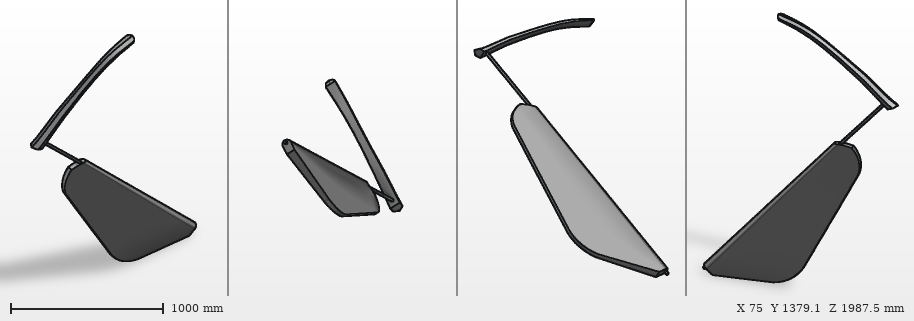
import cadquery as cq
import math


shaft_diameter = 19.0
shaft_foot = (1372.0, 25.0)
shaft_head = (83.0, 1490.0)

nose_foot = (1344.0, 38.0)
nose_head = (421.0, 1125.0)
nose_thickness_foot = 64.0
nose_thickness_head = 42.0
nose_depth_foot = 34.0
nose_depth_head = 20.0
trailing_thickness = 30.0
flank_depth_foot = 563.0
flank_depth_head = 225.0
head_overrun = 1.15

blade_top = 1125.0
blade_heel = (1308.0, 0.0)
heel_curve_start = (875.0, 24.0)
heel_curve_middle = (765.0, 65.0)
heel_curve_end = (670.0, 161.0)
crown_start = (280.0, 918.0)
crown_middle = (275.0, 1038.0)
crown_end = (322.0, 1117.0)
crown_top_y = 375.0
outline_clearance = 100.0

handle_sections = [
    ((847.0, 1988.0), (829.0, 1965.0), 75.0),
    ((705.0, 1948.0), (714.0, 1922.0), 68.0),
    ((586.0, 1896.0), (600.0, 1867.0), 60.0),
    ((437.0, 1803.0), (457.0, 1775.0), 55.0),
    ((298.0, 1708.0), (322.0, 1680.0), 62.0),
    ((150.0, 1590.0), (173.0, 1560.0), 70.0),
    ((0.0, 1480.0), (58.0, 1460.0), 75.0),
]
shoulder_share = 0.6
far_end_radius = 28.0
low_end_chamfer = 12.0


def between(start, end, share):
    return start + share * (end - start)


def point_between(start, end, share):
    return tuple(between(a, b, share) for a, b in zip(start, end))


def loft(wires, ruled):
    return cq.Workplane(cq.Solid.makeLoft(wires, ruled))


def make_shaft():
    dy = shaft_head[0] - shaft_foot[0]
    dz = shaft_head[1] - shaft_foot[1]
    return cq.Workplane(cq.Solid.makeCylinder(
        shaft_diameter / 2,
        math.hypot(dy, dz),
        cq.Vector(0, *shaft_foot),
        cq.Vector(0, dy, dz),
    ))


def blade_section(share):
    """Closed section across the blade, at a share of the way up the nose line."""
    along = (0, nose_head[0] - nose_foot[0], nose_head[1] - nose_foot[1])
    origin = (0, *point_between(nose_foot, nose_head, share))
    plane = cq.Plane(origin=origin, xDir=(1, 0, 0), normal=along)
    half = between(nose_thickness_foot, nose_thickness_head, share) / 2
    nose_depth = between(nose_depth_foot, nose_depth_head, share)
    flank_depth = between(flank_depth_foot, flank_depth_head, share)
    half_trailing = trailing_thickness / 2
    return (
        cq.Workplane(plane)
        .moveTo(-half, 0)
        .threePointArc((0, nose_depth), (half, 0))
        .lineTo(half_trailing, -flank_depth)
        .lineTo(-half_trailing, -flank_depth)
        .close()
        .val()
    )


def make_blade():
    wedge = loft([blade_section(0), blade_section(head_overrun)], True)
    outer_y = blade_heel[0] + outline_clearance
    outline = (
        cq.Workplane("YZ")
        .moveTo(outer_y, blade_top)
        .lineTo(outer_y, blade_heel[1])
        .lineTo(*blade_heel)
        .lineTo(*heel_curve_start)
        .threePointArc(heel_curve_middle, heel_curve_end)
        .lineTo(*crown_start)
        .threePointArc(crown_middle, crown_end)
        .lineTo(crown_top_y, blade_top)
        .close()
        .extrude(nose_thickness_foot, both=True)
    )
    return wedge.intersect(outline)


def handle_section(crest, underside, width):
    """Flat underside, two side walls and a roof rising to the crest."""
    half = width / 2
    shoulder = point_between(underside, crest, shoulder_share)
    corners = [
        cq.Vector(-half, *underside),
        cq.Vector(half, *underside),
        cq.Vector(half, *shoulder),
        cq.Vector(0, *crest),
        cq.Vector(-half, *shoulder),
    ]
    return cq.Wire.makePolygon(corners, close=True)


def make_handle():
    bar = loft([handle_section(*section) for section in handle_sections], False)
    low_tip, far_tip = handle_sections[-1][0], handle_sections[0][0]
    width = max(section[2] for section in handle_sections)
    plan = (
        cq.Workplane("XY")
        .box(width, far_tip[0] - low_tip[0], far_tip[1], centered=(True, False, False))
        .translate((0, low_tip[0], 0))
        .edges("|Z and >Y").fillet(far_end_radius)
        .edges("|Z and <Y").chamfer(low_end_chamfer)
    )
    return bar.intersect(plan)


result = make_blade().union(make_shaft()).union(make_handle())